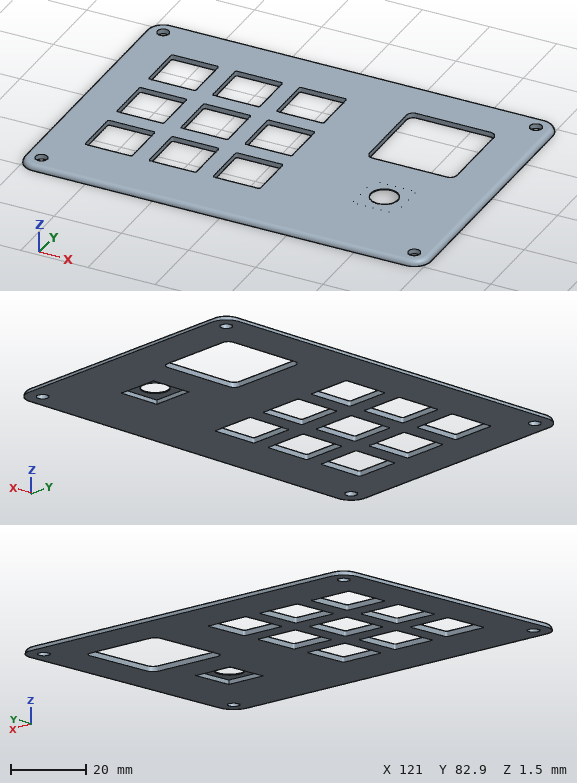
import cadquery as cq

length = 120.96
width = 82.91
thickness = 1.5
corner_radius = 5.0
edge_round = 1.499

screw_diameter = 3.4
screw_inset = corner_radius

key_size = 14.0
key_pitch = 19.05
key_count = 3
key_corner_radius = 0.5
key_grid_x = -22.2
key_grid_y = 1.0

display_size = 26.0
display_corner_radius = 2.0
display_x = 34.8
display_y = 15.6

knob_diameter = 8.0
knob_x = 35.4
knob_y = -13.97
pocket_size = 12.7
skin_thickness = 0.3


def rounded_square(size, radius, x, y):
    """Square cutter with rounded corners, through the full plate."""
    block = cq.Workplane("XY").center(x, y).rect(size, size).extrude(thickness)
    return block.edges("|Z").fillet(radius)


def round_hole(diameter, x, y):
    """Cylindrical cutter through the full plate."""
    return cq.Workplane("XY").center(x, y).circle(diameter / 2).extrude(thickness)


def make_plate():
    blank = cq.Workplane("XY").rect(length, width).extrude(thickness)
    blank = blank.edges("|Z").fillet(corner_radius)
    return blank.faces(">Z").edges().fillet(edge_round)


def cut_screw_holes(part):
    hole_x = length / 2 - screw_inset
    hole_y = width / 2 - screw_inset
    for x in (-hole_x, hole_x):
        for y in (-hole_y, hole_y):
            part = part.cut(round_hole(screw_diameter, x, y))
    return part


def cut_key_openings(part):
    middle = (key_count - 1) / 2
    for column in range(key_count):
        for row in range(key_count):
            x = key_grid_x + (column - middle) * key_pitch
            y = key_grid_y + (row - middle) * key_pitch
            part = part.cut(rounded_square(key_size, key_corner_radius, x, y))
    return part


def cut_display_opening(part):
    return part.cut(rounded_square(display_size, display_corner_radius, display_x, display_y))


def cut_knob_mount(part):
    pocket_depth = thickness - skin_thickness
    pocket = cq.Workplane("XY").center(knob_x, knob_y).rect(pocket_size, pocket_size).extrude(pocket_depth)
    return part.cut(pocket).cut(round_hole(knob_diameter, knob_x, knob_y))


result = make_plate()
result = cut_screw_holes(result)
result = cut_key_openings(result)
result = cut_display_opening(result)
result = cut_knob_mount(result)